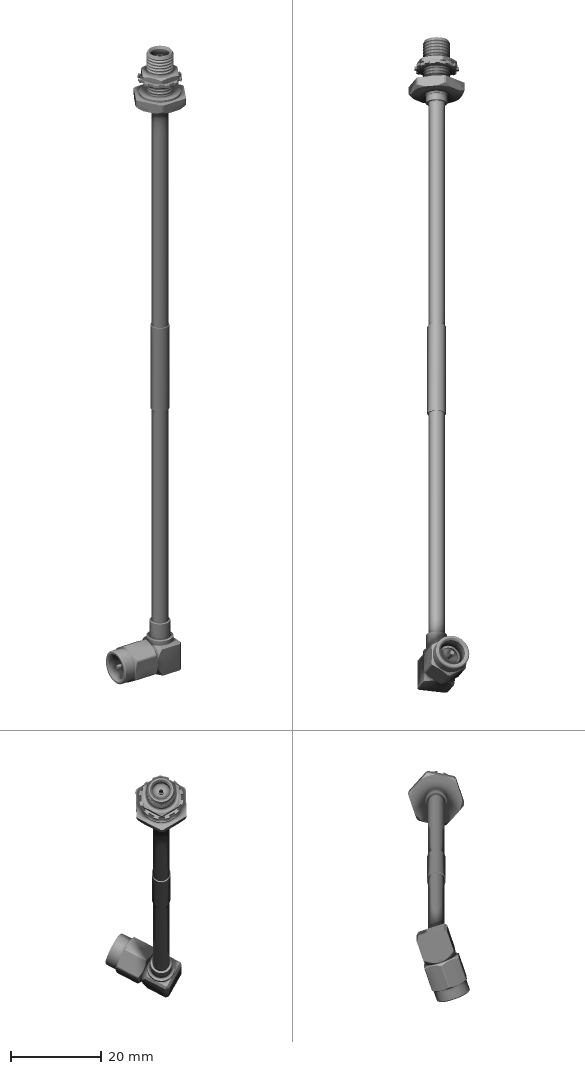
import cadquery as cq
import math


TOTAL_HEIGHT = 154.4
TOTAL_DEPTH = 18.4
CORNER_TRIM = 0.98

CABLE_R = 1.9
MARKER_R = 4.2 / 2
MARKER_BOTTOM_Z = 65.8
MARKER_LENGTH = 20.7

JACK_FERRULE_R = 4.8 / 2
JACK_SHOULDER_R = 5.1 / 2
JACK_SHOULDER_HEIGHT = 0.5
JACK_FERRULE_BOTTOM_Z = 139.7
FLANGE_FLATS = 11.1
FLANGE_BOTTOM_Z = 141.7
FLANGE_THICKNESS = 2.3
FLANGE_CHAMFER_R = 5.7
GASKET_SEAT_R = 4.6
GASKET_SEAT_HEIGHT = 0.5
THREAD_R = 6.0 / 2
THREAD_PITCH = 0.71
THREAD_DEPTH = 0.23
THREAD_FLAT = 0.2
JACK_TIP_R = 5.4 / 2
JACK_TIP_CHAMFER = 0.6
JACK_BORE_R = 4.2 / 2
JACK_BORE_DEPTH = 1.9
JACK_MOUTH_R = 2.5
JACK_MOUTH_DEPTH = 0.5
CONTACT_R = 0.6
CONTACT_HOLE_R = 0.5
CONTACT_HEIGHT = 0.8
CONTACT_HOLE_DEPTH = 2.3

WASHER_R = 5.0
WASHER_ROOT_R = 8.8 / 2
WASHER_TEETH = 12
WASHER_NOTCH_WIDTH = 1.4
WASHER_BOTTOM_Z = 147.5
WASHER_THICKNESS = 0.6
SMALL_HEX_FLATS = 8.0
MOUNTING_NUT_HEIGHT = 1.4
MOUNTING_NUT_FACE_R = 3.9
MOUNTING_NUT_CHAMFER = 0.3

PLUG_AXIS_Z = CORNER_TRIM * SMALL_HEX_FLATS / math.sqrt(3)
ELBOW_HALF = 3.5
ELBOW_CHAMFER = 0.54
ELBOW_FRONT_Y = -3.2
ELBOW_FRONT_R = 3.4
ELBOW_COLLAR_R = 6.0 / 2
ELBOW_COLLAR_TOP_Z = 9.1
PLUG_FERRULE_R = 2.3
PLUG_FERRULE_TOP_Z = 13.0
PLUG_TUBE_R = 2.5
PLUG_TUBE_BORE_R = 2.0
PLUG_TUBE_BORE_DEPTH = 0.5
PLUG_TUBE_FRONT_Y = -9.3
PIN_R = 0.5
PIN_FRONT_Y = -11.5

COUPLING_BACK_Y = ELBOW_FRONT_Y
COUPLING_FRONT_Y = CORNER_TRIM * FLANGE_FLATS / math.sqrt(3) - TOTAL_DEPTH
COUPLING_HEX_FRONT_Y = -9.4
COUPLING_ROUND_R = 3.9
COUPLING_CHAMFER = 0.54
COUPLING_WALL = 1.5
COUPLING_BORE_R = 5.7 / 2
COUPLING_MOUTH_R = 3.2
COUPLING_MOUTH_DEPTH = 0.3
COUPLING_RIM_R = 7.3 / 2
COUPLING_RIM_CHAMFER = 0.23


def cylinder(radius, bottom_z, top_z):
    """Solid cylinder on the Z axis."""
    return cq.Workplane("XY").workplane(offset=bottom_z).circle(radius).extrude(top_z - bottom_z)


def hexagon(flats, bottom_z, top_z):
    """Hexagonal prism on the Z axis, with flats facing +X and -X and turned-down corners."""
    corner_r = flats / math.sqrt(3)
    prism = (
        cq.Workplane("XY").workplane(offset=bottom_z)
        .transformed(rotate=(0, 0, 90))
        .polygon(6, 2 * corner_r)
        .extrude(top_z - bottom_z)
    )
    return prism.intersect(cylinder(CORNER_TRIM * corner_r, bottom_z, top_z))


def turned(profile):
    """Revolve (radius, height) points about the Z axis."""
    return cq.Workplane("XZ").polyline(profile).close().revolve(360, (0, 0), (0, 1))


def hex_nut_blank(flats, bottom_z, top_z, face_r, chamfer):
    """Hexagonal prism with conical chamfers that leave round end faces of radius face_r."""
    corner_r = flats / math.sqrt(3)
    return hexagon(flats, bottom_z, top_z).intersect(turned([
        (0, bottom_z),
        (face_r, bottom_z),
        (corner_r, bottom_z + chamfer),
        (corner_r, top_z - chamfer),
        (face_r, top_z),
        (0, top_z),
    ]))


def lay_on_plug_axis(shape):
    """Move a shape built on the Z axis so that its +Z runs along -Y on the plug axis."""
    return shape.rotate((0, 0, 0), (1, 0, 0), 90).translate((0, 0, PLUG_AXIS_Z))


def make_cable():
    return cylinder(CABLE_R, ELBOW_COLLAR_TOP_Z, JACK_FERRULE_BOTTOM_Z)


def make_tube_on_cable(radius, bottom_z, top_z):
    return cylinder(radius, bottom_z, top_z).cut(cylinder(CABLE_R, bottom_z, top_z))


def make_threaded_barrel(bottom_z):
    """Barrel with ring-shaped trapezoid grooves for the thread and a conical tip."""
    thread_top_z = TOTAL_HEIGHT - JACK_TIP_CHAMFER
    groove_count = int((thread_top_z - bottom_z) / THREAD_PITCH)
    profile = [(0, bottom_z), (THREAD_R, bottom_z)]
    first_crest_z = thread_top_z - groove_count * THREAD_PITCH
    for i in range(groove_count):
        crest_z = first_crest_z + i * THREAD_PITCH
        root_z = crest_z + THREAD_PITCH / 2
        profile += [
            (THREAD_R, crest_z + THREAD_FLAT / 2),
            (THREAD_R - THREAD_DEPTH, root_z - THREAD_FLAT / 2),
            (THREAD_R - THREAD_DEPTH, root_z + THREAD_FLAT / 2),
            (THREAD_R, crest_z + THREAD_PITCH - THREAD_FLAT / 2),
        ]
    profile += [(THREAD_R, thread_top_z), (JACK_TIP_R, TOTAL_HEIGHT), (0, TOTAL_HEIGHT)]
    return turned(profile)


def make_jack():
    flange_top_z = FLANGE_BOTTOM_Z + FLANGE_THICKNESS
    seat_top_z = flange_top_z + GASKET_SEAT_HEIGHT

    flange = hexagon(FLANGE_FLATS, FLANGE_BOTTOM_Z, flange_top_z)
    cone_top_r = FLANGE_CHAMFER_R + FLANGE_THICKNESS
    flange = flange.intersect(turned([
        (0, FLANGE_BOTTOM_Z),
        (FLANGE_CHAMFER_R, FLANGE_BOTTOM_Z),
        (cone_top_r, flange_top_z),
        (0, flange_top_z),
    ]))

    jack = flange.union(cylinder(JACK_FERRULE_R, JACK_FERRULE_BOTTOM_Z, FLANGE_BOTTOM_Z))
    shoulder_z = FLANGE_BOTTOM_Z - JACK_SHOULDER_HEIGHT
    jack = jack.union(cylinder(JACK_SHOULDER_R, shoulder_z, FLANGE_BOTTOM_Z))
    jack = jack.union(cylinder(GASKET_SEAT_R, flange_top_z, seat_top_z))
    jack = jack.union(make_threaded_barrel(seat_top_z))

    bore_floor_z = TOTAL_HEIGHT - JACK_BORE_DEPTH
    jack = jack.cut(turned([
        (0, bore_floor_z),
        (JACK_BORE_R, bore_floor_z),
        (JACK_BORE_R, TOTAL_HEIGHT - JACK_MOUTH_DEPTH),
        (JACK_MOUTH_R, TOTAL_HEIGHT),
        (0, TOTAL_HEIGHT),
    ]))

    contact_top_z = bore_floor_z + CONTACT_HEIGHT
    jack = jack.union(cylinder(CONTACT_R, bore_floor_z, contact_top_z))
    return jack.cut(cylinder(CONTACT_HOLE_R, contact_top_z - CONTACT_HOLE_DEPTH, contact_top_z))


def make_lock_washer():
    """Flat washer with teeth left between straight notches in its rim."""
    top_z = WASHER_BOTTOM_Z + WASHER_THICKNESS
    washer = cylinder(WASHER_R, WASHER_BOTTOM_Z, top_z)
    washer = washer.cut(cylinder(THREAD_R, WASHER_BOTTOM_Z, top_z))
    cutter_length = 2 * (WASHER_R - WASHER_ROOT_R)
    notches = (
        cq.Workplane("XY").workplane(offset=WASHER_BOTTOM_Z)
        .polarArray(WASHER_ROOT_R + cutter_length / 2, 0, 360, WASHER_TEETH)
        .rect(cutter_length, WASHER_NOTCH_WIDTH)
        .extrude(WASHER_THICKNESS)
    )
    return washer.cut(notches)


def make_mounting_nut():
    bottom_z = WASHER_BOTTOM_Z + WASHER_THICKNESS
    top_z = bottom_z + MOUNTING_NUT_HEIGHT
    nut = hex_nut_blank(SMALL_HEX_FLATS, bottom_z, top_z, MOUNTING_NUT_FACE_R, MOUNTING_NUT_CHAMFER)
    return nut.cut(cylinder(THREAD_R, bottom_z, top_z))


def make_elbow():
    """Block with a collar for the cable, and a tube and pin along the plug axis."""
    back_y = ELBOW_HALF
    length = back_y - ELBOW_FRONT_Y
    block = (
        cq.Workplane("XY")
        .box(2 * ELBOW_HALF, length, 2 * ELBOW_HALF)
        .translate((0, (back_y + ELBOW_FRONT_Y) / 2, PLUG_AXIS_Z))
    )
    block = block.edges(">Z or (|Z and >Y)").chamfer(ELBOW_CHAMFER)

    turning = lay_on_plug_axis(turned([
        (0, -back_y),
        (ELBOW_FRONT_R + length, -back_y),
        (ELBOW_FRONT_R, -ELBOW_FRONT_Y),
        (0, -ELBOW_FRONT_Y),
    ]))
    block = block.intersect(turning)

    collar = cylinder(ELBOW_COLLAR_R, PLUG_AXIS_Z, ELBOW_COLLAR_TOP_Z)
    tube = lay_on_plug_axis(cylinder(PLUG_TUBE_R, 0, -PLUG_TUBE_FRONT_Y))
    bore_floor_y = PLUG_TUBE_FRONT_Y + PLUG_TUBE_BORE_DEPTH
    bore = lay_on_plug_axis(cylinder(PLUG_TUBE_BORE_R, -bore_floor_y, -PLUG_TUBE_FRONT_Y))
    pin = lay_on_plug_axis(cylinder(PIN_R, 0, -PIN_FRONT_Y))
    return block.union(collar).union(tube).cut(bore).union(pin)


def make_coupling_nut():
    """Hex nut with a round front end, built along +Z and then laid on the plug axis."""
    back = -COUPLING_BACK_Y
    front = -COUPLING_FRONT_Y
    hex_front = -COUPLING_HEX_FRONT_Y

    nut = hex_nut_blank(SMALL_HEX_FLATS, back, hex_front, COUPLING_ROUND_R, COUPLING_CHAMFER)
    nut = nut.union(turned([
        (0, hex_front),
        (COUPLING_ROUND_R, hex_front),
        (COUPLING_ROUND_R, front - COUPLING_RIM_CHAMFER),
        (COUPLING_RIM_R, front),
        (0, front),
    ]))

    nut = nut.cut(turned([
        (0, back),
        (PLUG_TUBE_R, back),
        (PLUG_TUBE_R, back + COUPLING_WALL),
        (COUPLING_BORE_R, back + COUPLING_WALL),
        (COUPLING_BORE_R, front - COUPLING_MOUTH_DEPTH),
        (COUPLING_MOUTH_R, front),
        (0, front),
    ]))
    return lay_on_plug_axis(nut)


cable = make_cable()
marker_sleeve = make_tube_on_cable(MARKER_R, MARKER_BOTTOM_Z, MARKER_BOTTOM_Z + MARKER_LENGTH)
plug_ferrule = make_tube_on_cable(PLUG_FERRULE_R, ELBOW_COLLAR_TOP_Z, PLUG_FERRULE_TOP_Z)
jack = make_jack()
lock_washer = make_lock_washer()
mounting_nut = make_mounting_nut()
elbow = make_elbow()
coupling_nut = make_coupling_nut()

bodies = [cable, marker_sleeve, plug_ferrule, jack, lock_washer, mounting_nut, elbow, coupling_nut]
result = cq.Compound.makeCompound([body.solids().val() for body in bodies])